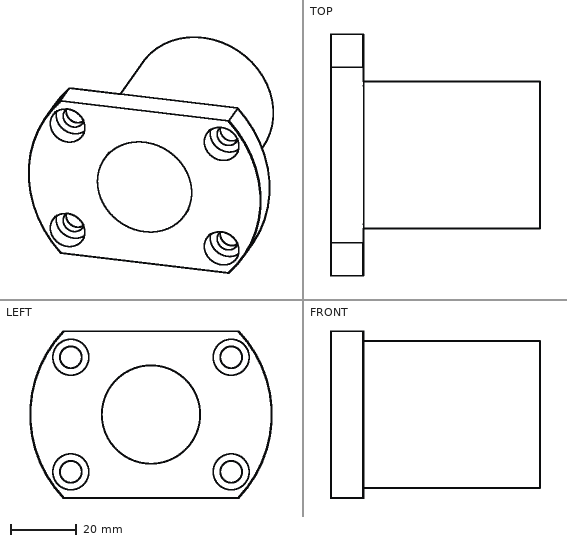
import cadquery as cq

total_length = 64.0
flange_thickness = 10.0
flange_diameter = 74.0
flange_height = 51.0
body_diameter = 45.0
bore_diameter = 30.0
edge_radius = 0.2

hole_spacing_z = 35.0
hole_spacing_y = 49.0
hole_diameter = 6.6
counterbore_diameter = 11.0
counterbore_depth = 6.5


def cylinder_along_x(diameter, length):
    """Cylinder on the X axis, starting at the YZ plane."""
    return cq.Workplane("YZ").circle(diameter / 2).extrude(length)


def make_flange():
    """Round flange with rounded rims and two flats, top and bottom."""
    disc = cylinder_along_x(flange_diameter, flange_thickness).edges().fillet(edge_radius)
    flats = cq.Workplane("YZ").rect(flange_diameter, flange_height).extrude(flange_thickness)
    return disc.intersect(flats)


def make_body():
    """Sleeve barrel with a rounded outer edge at its free end."""
    return cylinder_along_x(body_diameter, total_length).faces(">X").edges().fillet(edge_radius)


def cut_mounting_holes(part):
    """Four through holes, counterbored from the flange's outer face."""
    pattern = cq.Workplane("YZ").rect(hole_spacing_y, hole_spacing_z, forConstruction=True).vertices()
    through_holes = pattern.circle(hole_diameter / 2).extrude(flange_thickness)
    counterbores = pattern.circle(counterbore_diameter / 2).extrude(counterbore_depth)
    return part.cut(through_holes).cut(counterbores)


sleeve = make_flange().union(make_body())
sleeve = sleeve.cut(cylinder_along_x(bore_diameter, total_length))
result = cut_mounting_holes(sleeve)